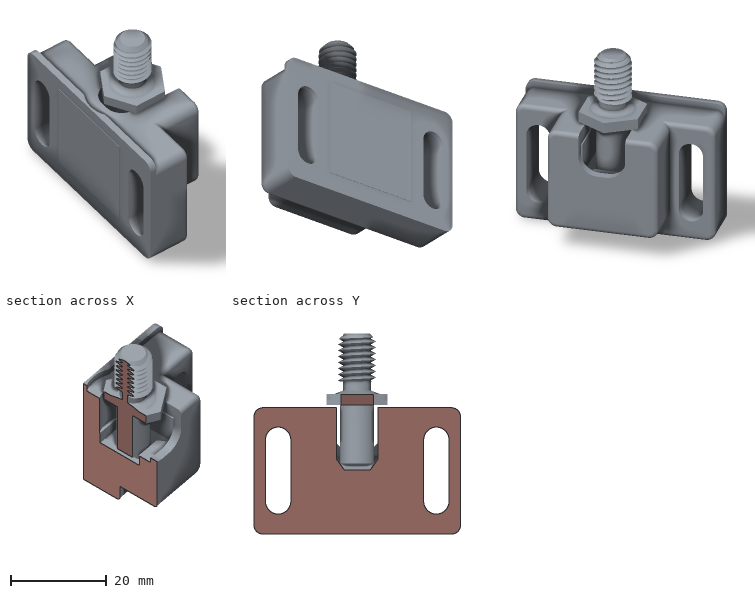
import cadquery as cq
import math

PLATE_WIDTH = 43.2
PLATE_DEPTH = 9.95
SHOULDER_HEIGHT = 26.5
LIP_TOP = 28.1
LIP_DEPTH = 1.45
BOSS_WIDTH = 23.85
BOSS_BOTTOM = 4.1
HOUSING_DEPTH = 20.05
CORNER_RADIUS = 2.0
REAR_EDGE_RADIUS = CORNER_RADIUS / 2

RELIEF_WIDTH = 7.47
RELIEF_WALL = 0.45

LABEL_SIZE = 21.25
LABEL_BOTTOM = 3.97
LABEL_THICKNESS = 0.1

SLOT_WIDTH = 5.2
SLOT_LENGTH = 18.05
SLOT_SPACING = 33.0
SLOT_CENTRE_Z = 13.3

STUD_Y = 11.28
POCKET_WIDTH = 9.5
POCKET_FRONT = 3.95
POCKET_CORNER_RADIUS = 3.9
POCKET_LEDGE_Z = 16.4
TROUGH_FRONT = 4.62
TROUGH_FLOOR_WIDTH = 5.4
TROUGH_SLOPE = 55.0
REAR_WALL = 1.95
OPENING_WIDTH = 10.1
OPENING_BOTTOM = 17.3
OPENING_CORNER_RADIUS = 4.1
REAR_STEP_LENGTH = 3.02
REAR_STEP_TAPER = 30.0
NECK_BOTTOM = 23.33

TROUGH_DEPTH = (POCKET_WIDTH - TROUGH_FLOOR_WIDTH) / 2 * math.tan(math.radians(TROUGH_SLOPE))
TROUGH_FLOOR_Z = POCKET_LEDGE_Z - TROUGH_DEPTH
POCKET_REAR = HOUSING_DEPTH - REAR_WALL

STUD_TOP = 41.9
SHANK_DIAMETER = 7.1
HEX_FLATS = 12.8
HEX_BOTTOM = 26.9
HEX_TOP = 29.25
CONE_DIAMETER = 9.5
CONE_TOP = 29.95
THREAD_BOTTOM = 31.9
THREAD_DIAMETER = 8.0
THREAD_PITCH = 1.25
TIP_DIAMETER = 5.2
CREST_OFFSET = 0.8
RIDGE_FILL = 0.97
RIDGE_OVERLAP = 0.1

THREAD_RADIUS = THREAD_DIAMETER / 2
SHANK_BOTTOM = POCKET_LEDGE_Z - (POCKET_WIDTH - SHANK_DIAMETER) / 2 * math.tan(math.radians(TROUGH_SLOPE))
SHARP_V_DEPTH = THREAD_PITCH * math.sqrt(3) / 2
CORE_RADIUS = THREAD_RADIUS - SHARP_V_DEPTH


def block(width, y_front, y_rear, z_bottom, z_top):
    """Box centred on X = 0."""
    return cq.Workplane("XY").box(
        width, y_rear - y_front, z_top - z_bottom, centered=(True, False, False)
    ).translate((0, y_front, z_bottom))


def rounded_plate(width, depth, z_bottom, z_top):
    """Plate starting at the front face, with its four upright outline corners rounded."""
    return block(width, 0, depth, z_bottom, z_top).edges("|Y").fillet(CORNER_RADIUS)


def make_shell():
    plate = rounded_plate(PLATE_WIDTH, PLATE_DEPTH, 0, SHOULDER_HEIGHT)
    plate = plate.faces(">Y").edges().fillet(REAR_EDGE_RADIUS)
    boss = rounded_plate(BOSS_WIDTH, HOUSING_DEPTH, BOSS_BOTTOM, SHOULDER_HEIGHT)
    boss = boss.faces(">Y").edges().fillet(REAR_EDGE_RADIUS)
    lip = rounded_plate(PLATE_WIDTH, LIP_DEPTH, 0, LIP_TOP)
    return plate.union(boss).union(lip)


def make_lip_relief():
    return (
        cq.Workplane("XY", origin=(0, 0, SHOULDER_HEIGHT))
        .moveTo(-RELIEF_WIDTH / 2, LIP_DEPTH)
        .threePointArc((0, RELIEF_WALL), (RELIEF_WIDTH / 2, LIP_DEPTH))
        .close()
        .extrude(LIP_TOP - SHOULDER_HEIGHT)
    )


def make_label():
    return block(LABEL_SIZE, -LABEL_THICKNESS, 0, LABEL_BOTTOM, LABEL_BOTTOM + LABEL_SIZE)


def make_mounting_slots():
    return (
        cq.Workplane("XZ", origin=(0, 0, SLOT_CENTRE_Z))
        .pushPoints([(-SLOT_SPACING / 2, 0), (SLOT_SPACING / 2, 0)])
        .slot2D(SLOT_LENGTH, SLOT_WIDTH, 90)
        .extrude(-PLATE_DEPTH)
    )


def make_pocket():
    bay = block(POCKET_WIDTH, POCKET_FRONT, POCKET_REAR, POCKET_LEDGE_Z, SHOULDER_HEIGHT)
    bay = bay.edges("|Z and <Y").fillet(POCKET_CORNER_RADIUS)
    neck = block(OPENING_WIDTH, STUD_Y, HOUSING_DEPTH, NECK_BOTTOM, SHOULDER_HEIGHT)
    opening = block(OPENING_WIDTH, POCKET_REAR, HOUSING_DEPTH, OPENING_BOTTOM, SHOULDER_HEIGHT)
    opening = opening.edges("|Y and <Z").fillet(OPENING_CORNER_RADIUS)
    return bay.union(neck).union(opening).union(make_trough())


def make_trough():
    """Sloped-sided channel in the bottom of the pocket, kept inside the pocket's outline."""
    channel = (
        cq.Workplane("XZ", origin=(0, TROUGH_FRONT, 0))
        .moveTo(-TROUGH_FLOOR_WIDTH / 2, TROUGH_FLOOR_Z)
        .lineTo(TROUGH_FLOOR_WIDTH / 2, TROUGH_FLOOR_Z)
        .lineTo(POCKET_WIDTH / 2, POCKET_LEDGE_Z)
        .lineTo(-POCKET_WIDTH / 2, POCKET_LEDGE_Z)
        .close()
        .extrude(TROUGH_FRONT - POCKET_REAR)
    )
    outline = block(POCKET_WIDTH, POCKET_FRONT, POCKET_REAR, TROUGH_FLOOR_Z, POCKET_LEDGE_Z)
    channel = channel.cut(make_rear_step())
    return channel.intersect(outline.edges("|Z and <Y").fillet(POCKET_CORNER_RADIUS))


def make_rear_step():
    rear_half_width = POCKET_WIDTH / 2
    front_half_width = rear_half_width - REAR_STEP_LENGTH * math.tan(math.radians(REAR_STEP_TAPER))
    return (
        cq.Workplane("XY", origin=(0, POCKET_REAR, TROUGH_FLOOR_Z))
        .moveTo(-rear_half_width, 0)
        .lineTo(rear_half_width, 0)
        .lineTo(front_half_width, -REAR_STEP_LENGTH)
        .lineTo(-front_half_width, -REAR_STEP_LENGTH)
        .close()
        .extrude(TROUGH_DEPTH)
    )


def make_housing():
    solid = make_shell().union(make_label())
    return solid.cut(make_lip_relief()).cut(make_mounting_slots()).cut(make_pocket())


def make_thread():
    """Right-handed ridge on a core, trimmed to a flat lower end and a 45 degree tip."""
    helix_bottom = THREAD_BOTTOM + CREST_OFFSET - 2 * THREAD_PITCH
    helix_height = STUD_TOP + THREAD_PITCH - helix_bottom
    helix = cq.Wire.makeHelix(THREAD_PITCH, helix_height, CORE_RADIUS).translate(
        cq.Vector(0, 0, helix_bottom)
    )
    half_base = RIDGE_FILL * THREAD_PITCH / 2
    ridge = (
        cq.Workplane("XZ", origin=(0, 0, helix_bottom))
        .moveTo(CORE_RADIUS - RIDGE_OVERLAP, -half_base)
        .lineTo(THREAD_RADIUS, 0)
        .lineTo(CORE_RADIUS - RIDGE_OVERLAP, half_base)
        .close()
        .sweep(cq.Workplane(helix), isFrenet=True)
    )
    core = cq.Workplane("XY", origin=(0, 0, helix_bottom)).circle(CORE_RADIUS).extrude(helix_height)
    envelope = (
        cq.Workplane("XY", origin=(0, 0, THREAD_BOTTOM))
        .circle(THREAD_RADIUS + RIDGE_OVERLAP)
        .extrude(STUD_TOP - THREAD_BOTTOM)
        .faces(">Z")
        .chamfer(THREAD_RADIUS + RIDGE_OVERLAP - TIP_DIAMETER / 2)
    )
    return core.union(ridge, clean=False).intersect(envelope, clean=False)


def make_stud():
    shank = (
        cq.Workplane("XY", origin=(0, 0, SHANK_BOTTOM))
        .circle(SHANK_DIAMETER / 2)
        .extrude(HEX_BOTTOM - SHANK_BOTTOM)
    )
    hexagon = (
        cq.Workplane("XY", origin=(0, 0, HEX_BOTTOM))
        .polygon(6, HEX_FLATS, circumscribed=True)
        .extrude(HEX_TOP - HEX_BOTTOM)
    )
    neck = (
        cq.Workplane("XZ")
        .moveTo(0, HEX_TOP)
        .lineTo(CONE_DIAMETER / 2, HEX_TOP)
        .lineTo(CORE_RADIUS, CONE_TOP)
        .lineTo(CORE_RADIUS, THREAD_BOTTOM)
        .lineTo(0, THREAD_BOTTOM)
        .close()
        .revolve(360, (0, 0, 0), (0, 1, 0))
    )
    solid = shank.union(hexagon).union(neck).union(make_thread(), clean=False)
    return solid.translate((0, STUD_Y, 0))


housing = make_housing()
stud = make_stud()
result = cq.Compound.makeCompound([housing.val(), stud.val()])